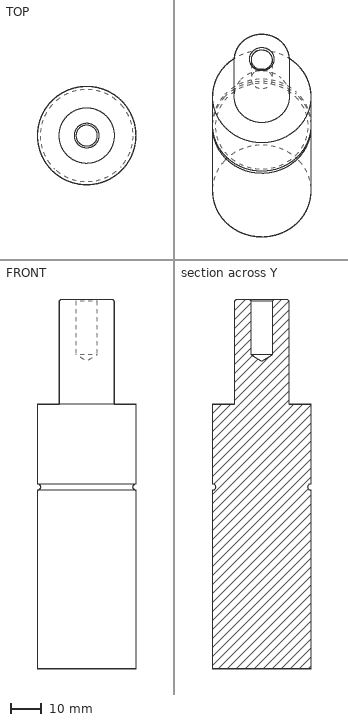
import cadquery as cq
import math

total_height = 120.0
shoulder_height = 85.9
groove_height = 59.0

body_diameter = 32.0
rod_diameter = 18.0
rod_fillet = 1.0
groove_radius = 1.0

hole_diameter = 6.8
hole_mouth_diameter = 8.0
hole_depth = 18.0
drill_tip_angle = 118.0


def make_stepped_cylinder():
    """Body with a coaxial rod whose free end is rounded."""
    body = cq.Workplane("XY").circle(body_diameter / 2).extrude(shoulder_height)
    rod = (
        cq.Workplane("XY", origin=(0, 0, shoulder_height))
        .circle(rod_diameter / 2)
        .extrude(total_height - shoulder_height)
        .faces(">Z")
        .edges()
        .fillet(rod_fillet)
    )
    return body.union(rod)


def make_groove_cutter():
    """Ring that cuts a half-round groove around the body."""
    return cq.Workplane("XY").add(
        cq.Solid.makeTorus(body_diameter / 2, groove_radius, cq.Vector(0, 0, groove_height))
    )


def make_hole_cutter():
    """Blind hole with a countersunk mouth and a conical drill tip."""
    hole_radius = hole_diameter / 2
    mouth_radius = hole_mouth_diameter / 2
    mouth_depth = mouth_radius - hole_radius
    tip_length = hole_radius / math.tan(math.radians(drill_tip_angle / 2))
    hole_floor = total_height - hole_depth
    return (
        cq.Workplane("XZ")
        .moveTo(0, total_height)
        .lineTo(mouth_radius, total_height)
        .lineTo(hole_radius, total_height - mouth_depth)
        .lineTo(hole_radius, hole_floor)
        .lineTo(0, hole_floor - tip_length)
        .close()
        .revolve(360, (0, 0, 0), (0, 1, 0))
    )


result = make_stepped_cylinder().cut(make_groove_cutter()).cut(make_hole_cutter())